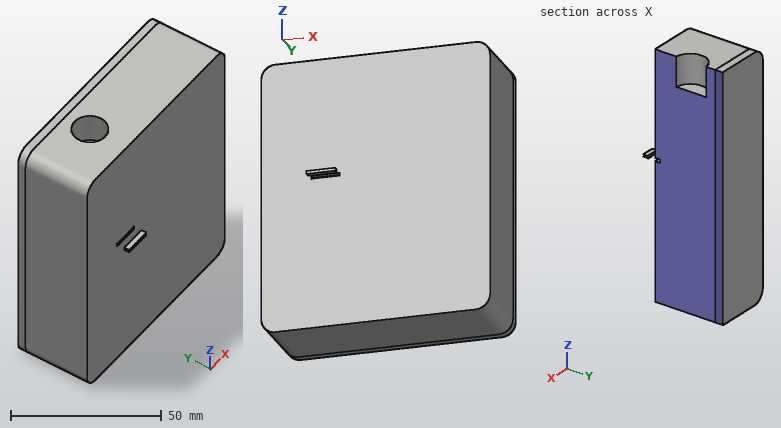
import cadquery as cq

width = 80.0
height = 95.0
corner_radius = 4.9
case_depth = 25.0
lid_thickness = 3.0

port_diameter = 12.35
port_depth = 11.4
port_x = -16.9
port_y = 15.0

bar_length = 10.0
bar_height = 1.0
bar_thickness = 2.0
bar_gap = 2.9
bar_x = -17.6
bar_z = 6.0


def plate(length, tall, thickness, front_y):
    """Upright rectangular block centred on X and Z that starts at front_y and runs toward +Y."""
    return cq.Workplane("XY").box(length, thickness, tall, centered=(True, False, True)).translate(
        (0, front_y, 0)
    )


def rounded_plate(thickness, front_y):
    """Enclosure outline with its four corners rounded."""
    return plate(width, height, thickness, front_y).edges("|Y").fillet(corner_radius)


def bar_block(front_y):
    """Block with the size of the bar, at the bar's X and Z position."""
    return plate(bar_length, bar_height, bar_thickness, front_y).translate((bar_x, 0, bar_z))


port = (
    cq.Workplane("XY")
    .center(port_x, port_y)
    .circle(port_diameter / 2)
    .extrude(port_depth)
    .translate((0, 0, height / 2 - port_depth))
)
case = rounded_plate(case_depth, 0).cut(port).cut(bar_block(0))

lid = rounded_plate(lid_thickness, case_depth)

bar = bar_block(-bar_gap - bar_thickness)

result = cq.Compound.makeCompound([case.val(), lid.val(), bar.val()])